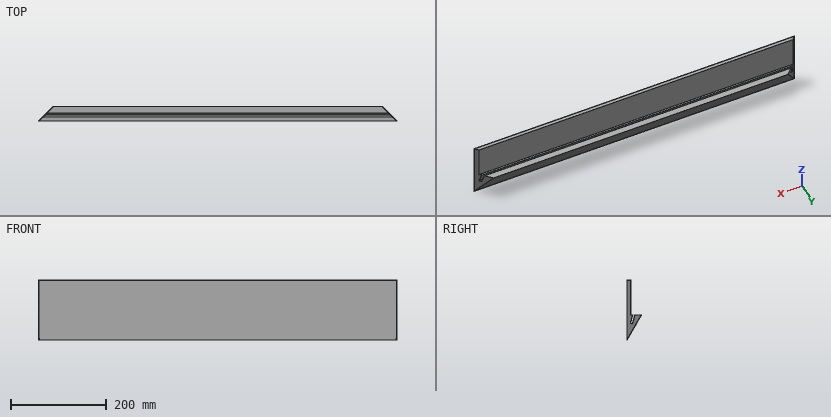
import cadquery as cq
import math

length = 747.0
depth = 30.5
height = 125.0

board_thickness = 8.0
bevel_angle = 60.0
lip_height = depth * math.tan(math.radians(bevel_angle))

groove_angle = 75.0
groove_width = 4.0
groove_length = 18.0
ledge_width = 4.15

mitre_angle = 45.0


def extrude_along_length(section):
    """Extrude a closed YZ outline along X, centred on X = 0."""
    return cq.Workplane("YZ").polyline(section).close().extrude(length / 2, both=True)


def make_profile_bar():
    """Upright board with the bevelled lip behind its lower edge."""
    return extrude_along_length([
        (0, 0),
        (depth, lip_height),
        (board_thickness, lip_height),
        (board_thickness, height),
        (0, height),
    ])


def make_groove():
    """Square-bottomed groove leaning down towards the front face."""
    lean = math.radians(groove_angle)
    mouth_front_y = board_thickness + ledge_width
    mouth_back_y = mouth_front_y + groove_width / math.sin(lean)
    floor_front_y = mouth_front_y - groove_length * math.cos(lean)
    floor_front_z = lip_height - groove_length * math.sin(lean)
    floor_back_y = floor_front_y + groove_width * math.sin(lean)
    floor_back_z = floor_front_z - groove_width * math.cos(lean)
    return extrude_along_length([
        (mouth_front_y, lip_height),
        (floor_front_y, floor_front_z),
        (floor_back_y, floor_back_z),
        (mouth_back_y, lip_height),
    ])


def make_mitre_envelope():
    """Trapezoid in plan, full length at the front and shorter at the back."""
    setback = depth / math.tan(math.radians(mitre_angle))
    front_x = length / 2
    back_x = front_x - setback
    plan = [(-front_x, 0), (front_x, 0), (back_x, depth), (-back_x, depth)]
    return cq.Workplane("XY").polyline(plan).close().extrude(height)


grooved_bar = make_profile_bar().cut(make_groove())
result = grooved_bar.intersect(make_mitre_envelope())